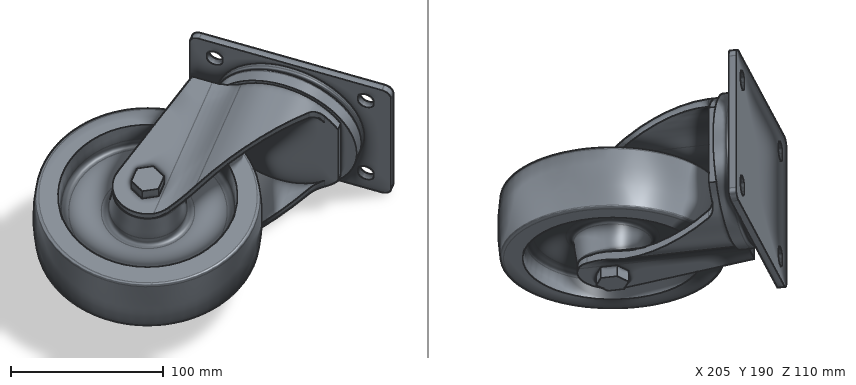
import cadquery as cq
import math


PLATE_LENGTH = 140.0
PLATE_WIDTH = 110.0
PLATE_THICKNESS = 5.0
PLATE_CORNER_RADIUS = 6.5
HOLE_SPACING_X = 105.0
HOLE_SPACING_Z_MIN = 75.0
HOLE_SPACING_Z_MAX = 80.0
SLOT_WIDTH = 11.0

HEAD_RADIUS = 103.04 / 2
HEAD_BOTTOM = -20.0
GROOVE_Y = -9.25
GROOVE_ROUNDING = 2.25

LEG_SHEET = 5.0
TOP_SHEET = 5.5
LEG_OUTER_Z = 33.0
BULGE_RADIUS = 49.0
BEND_RADIUS = 34.0
FORK_BACK_X = -63.0
FORK_FRONT_X = 40.5
LEG_END_RADIUS = 23.0
LEG_FRONT_X = 25.0
LEG_FRONT_FILLET = 11.0

AXLE_X = -60.0
AXLE_Y = -115.0
WHEEL_RADIUS = 75.0
WHEEL_WIDTH = 45.0
CROWN_RADIUS = 150.0
TREAD_FILLET = 2.0
WEB_THICKNESS = 12.0
RECESS_RADIUS = 58.8
DRAFT = 9.0
WEB_FILLET = 5.0
HUB_END_RADIUS = 22.7
HUB_LENGTH = 58.0
HUB_END_FILLET = 2.0

HEX_ACROSS_FLATS = 19.0
HEX_HEIGHT = 8.0


def mirrored(solid):
    """The solid together with its mirror image across Z = 0."""
    return solid.union(solid.mirror("XY"))


def across_y(y):
    """Workplane at height y, normal +Y, local x along +X and local y along -Z."""
    return cq.Workplane("XZ", origin=(0, y, 0)).transformed(rotate=(180, 0, 0))


def mounting_plate():
    plate = cq.Workplane("XY").box(PLATE_LENGTH, PLATE_THICKNESS, PLATE_WIDTH)
    plate = plate.edges("|Y").fillet(PLATE_CORNER_RADIUS)
    plate = plate.translate((0, -PLATE_THICKNESS / 2, 0))
    slot_length = SLOT_WIDTH + (HOLE_SPACING_Z_MAX - HOLE_SPACING_Z_MIN) / 2
    slot_spacing_z = (HOLE_SPACING_Z_MIN + HOLE_SPACING_Z_MAX) / 2
    slots = (
        across_y(-PLATE_THICKNESS)
        .rarray(HOLE_SPACING_X, slot_spacing_z, 2, 2)
        .slot2D(slot_length, SLOT_WIDTH, 90)
        .extrude(PLATE_THICKNESS)
    )
    return plate.cut(slots)


def swivel_head():
    """Two stacked discs whose facing rims are rounded, leaving a V-like groove."""
    upper = across_y(GROOVE_Y).circle(HEAD_RADIUS).extrude(-PLATE_THICKNESS - GROOVE_Y)
    upper = upper.faces("<Y").edges().fillet(GROOVE_ROUNDING)
    lower = across_y(HEAD_BOTTOM).circle(HEAD_RADIUS).extrude(GROOVE_Y - HEAD_BOTTOM)
    lower = lower.faces(">Y").edges().fillet(GROOVE_ROUNDING)
    return upper.union(lower)


def bulge_outline(inset):
    """Half outline of the fork seen along Y: flat leg, concave bend, then bulge arc."""
    leg_z = LEG_OUTER_Z - inset
    bulge = BULGE_RADIUS - inset
    bend = BEND_RADIUS + inset
    bend_z = leg_z + bend
    bend_x = -math.sqrt((bulge + bend) ** 2 - bend_z ** 2)
    lean = math.atan2(-bend_x, bend_z)
    tangent = (-bulge * math.sin(lean), bulge * math.cos(lean))
    bend_middle = (bend_x + bend * math.sin(lean / 2), bend_z - bend * math.cos(lean / 2))
    end = (FORK_FRONT_X, math.sqrt(bulge ** 2 - FORK_FRONT_X ** 2))
    back = AXLE_X - 2 * LEG_END_RADIUS
    return (
        cq.Workplane("XZ")
        .moveTo(back, 0)
        .lineTo(back, leg_z)
        .lineTo(bend_x, leg_z)
        .threePointArc(bend_middle, tangent)
        .threePointArc((0, bulge), end)
        .lineTo(FORK_FRONT_X, 0)
        .close()
    )


def tangent_point(x, y, side):
    """Where the line from (x, y) touches the leg end circle; side picks which of the two."""
    dx = x - AXLE_X
    dy = y - AXLE_Y
    angle = math.atan2(dy, dx) + side * math.acos(LEG_END_RADIUS / math.hypot(dx, dy))
    return (AXLE_X + LEG_END_RADIUS * math.cos(angle), AXLE_Y + LEG_END_RADIUS * math.sin(angle))


def fork():
    """Bent sheet: its outline seen along Y, trimmed to the leg shape seen along Z."""
    fork_depth = -AXLE_Y + 2 * LEG_END_RADIUS
    sheet_bottom = HEAD_BOTTOM - TOP_SHEET
    outside = bulge_outline(0).extrude(fork_depth)
    hollow = bulge_outline(LEG_SHEET).extrude(fork_depth)
    shell = outside.cut(hollow.translate((0, sheet_bottom, 0)))

    side_profile = (
        cq.Workplane("XY")
        .moveTo(FORK_BACK_X, HEAD_BOTTOM)
        .lineTo(*tangent_point(FORK_BACK_X, HEAD_BOTTOM, 1))
        .threePointArc(
            (AXLE_X, AXLE_Y - LEG_END_RADIUS), tangent_point(LEG_FRONT_X, sheet_bottom, -1))
        .lineTo(LEG_FRONT_X, sheet_bottom)
        .lineTo(FORK_FRONT_X, sheet_bottom)
        .lineTo(FORK_FRONT_X, HEAD_BOTTOM)
        .close()
        .extrude(BULGE_RADIUS)
    )
    at_corner = cq.selectors.NearestToPointSelector((LEG_FRONT_X, sheet_bottom, BULGE_RADIUS / 2))
    side_profile = side_profile.edges("|Z").edges(at_corner).fillet(LEG_FRONT_FILLET)
    return mirrored(shell.intersect(side_profile))


def wheel():
    """Crowned wheel with a recess around the hub on both faces."""
    half_width = WHEEL_WIDTH / 2
    half_web = WEB_THICKNESS / 2
    crown_drop = CROWN_RADIUS - math.sqrt(CROWN_RADIUS ** 2 - half_width ** 2)
    edge_radius = WHEEL_RADIUS - crown_drop
    tread = (
        cq.Workplane("XZ")
        .moveTo(0, -half_width)
        .lineTo(edge_radius, -half_width)
        .threePointArc((WHEEL_RADIUS, 0), (edge_radius, half_width))
        .lineTo(0, half_width)
        .close()
        .revolve(360, (0, 0, 0), (0, 1, 0))
    )
    tread = tread.faces("<Z or >Z").edges().fillet(TREAD_FILLET)

    recess_depth = half_width - half_web
    recess = (
        cq.Workplane("XY", origin=(0, 0, half_width))
        .circle(RECESS_RADIUS)
        .extrude(-recess_depth, taper=DRAFT)
        .faces("<Z")
        .edges()
        .fillet(WEB_FILLET)
    )
    disc = tread.cut(mirrored(recess))

    hub_half = HUB_LENGTH / 2
    hub_height = hub_half - half_web
    hub = (
        cq.Workplane("XY", origin=(0, 0, hub_half))
        .circle(HUB_END_RADIUS)
        .extrude(-hub_height, taper=-DRAFT)
        .faces(">Z")
        .edges()
        .fillet(HUB_END_FILLET)
    )
    body = disc.union(mirrored(hub))
    foot_radius = HUB_END_RADIUS + hub_height * math.tan(math.radians(DRAFT))
    foot_edges = [
        edge for edge in body.edges("%CIRCLE").vals()
        if math.isclose(edge.radius(), foot_radius, abs_tol=0.01)
    ]
    body = body.newObject(foot_edges).fillet(WEB_FILLET)
    return body.translate((AXLE_X, AXLE_Y, 0))


def bolt_heads():
    """Hexagons with two flats facing along X, seated through the fork legs."""
    corner_diameter = HEX_ACROSS_FLATS / math.cos(math.pi / 6)
    head = (
        cq.Workplane("XY", origin=(AXLE_X, AXLE_Y, LEG_OUTER_Z - LEG_SHEET))
        .transformed(rotate=(0, 0, 90))
        .polygon(6, corner_diameter)
        .extrude(LEG_SHEET + HEX_HEIGHT)
    )
    return mirrored(head)


result = (
    mounting_plate()
    .union(swivel_head())
    .union(fork())
    .union(wheel())
    .union(bolt_heads())
)